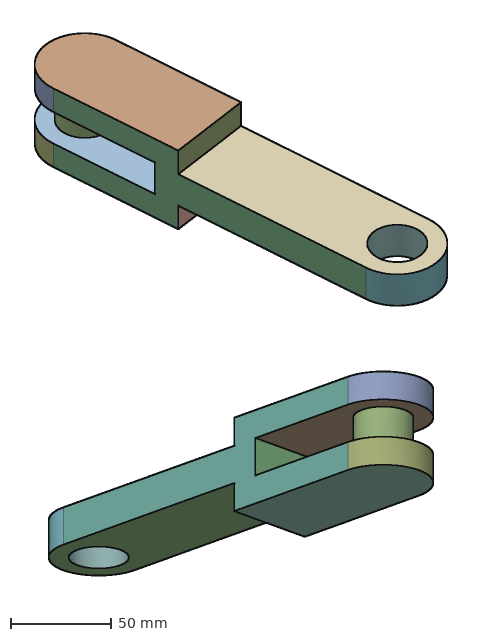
import cadquery as cq

overall_length = 250.0
width = 50.0
fork_height = 50.0
fork_length = 105.0
slot_depth = 90.0
tongue_thickness = 20.0
slot_height = 20.0
pin_diameter = 30.0
eye_diameter = 30.0

end_radius = width / 2
fork_tip_x = -end_radius
shoulder_x = fork_tip_x + fork_length
slot_floor_x = fork_tip_x + slot_depth
eye_x = fork_tip_x + overall_length - end_radius


def centered_cylinder(x, diameter, height):
    """Vertical cylinder at x, centered on mid-height."""
    base = cq.Workplane("XY", origin=(x, 0, -height / 2))
    return base.circle(diameter / 2).extrude(height)


def centered_block(x_start, x_end, height):
    """Full-width block between two X positions, centered on mid-height."""
    length = x_end - x_start
    return cq.Workplane("XY").box(length, width, height).translate((x_start + length / 2, 0, 0))


def make_fork():
    """Round-ended block, slotted to leave two cheeks."""
    rounded_end = centered_cylinder(0, width, fork_height)
    body = centered_block(0, shoulder_x, fork_height).union(rounded_end)
    slot = centered_block(fork_tip_x, slot_floor_x, slot_height)
    return body.cut(slot)


def make_tongue():
    """Flat arm from the slot floor to a rounded end with an eye hole."""
    rounded_end = centered_cylinder(eye_x, width, tongue_thickness)
    arm = centered_block(slot_floor_x, eye_x, tongue_thickness).union(rounded_end)
    eye = centered_cylinder(eye_x, eye_diameter, tongue_thickness)
    return arm.cut(eye)


def make_pin():
    """Pin joining the cheeks, ending flush with their outer faces."""
    return centered_cylinder(0, pin_diameter, fork_height)


result = make_fork().union(make_tongue()).union(make_pin()).clean()